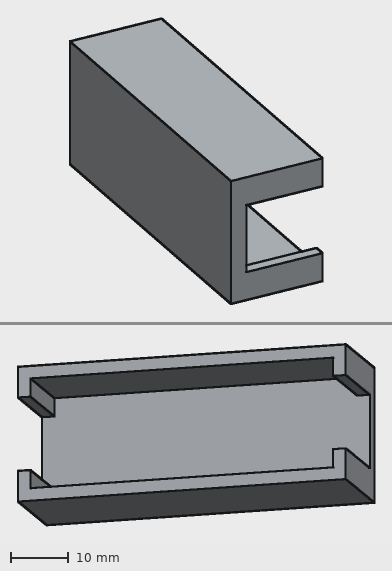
import cadquery as cq

length = 59.0
depth = 18.0
height = 24.0

back_wall = 3.0
end_flange = 5.5

thin_flange = 2.25
lip_length = 2.25


def channel_cut(cut_length, flange):
    """Box that opens the channel from the back wall out through the +Y side."""
    cut_depth = depth - back_wall
    return cq.Workplane("XY").box(cut_length, cut_depth, height - 2 * flange).translate((0, back_wall / 2, 0))


block = cq.Workplane("XY").box(length, depth, height)
through_channel = channel_cut(length, end_flange)
inner_recess = channel_cut(length - 2 * lip_length, thin_flange)

result = block.cut(through_channel).cut(inner_recess)